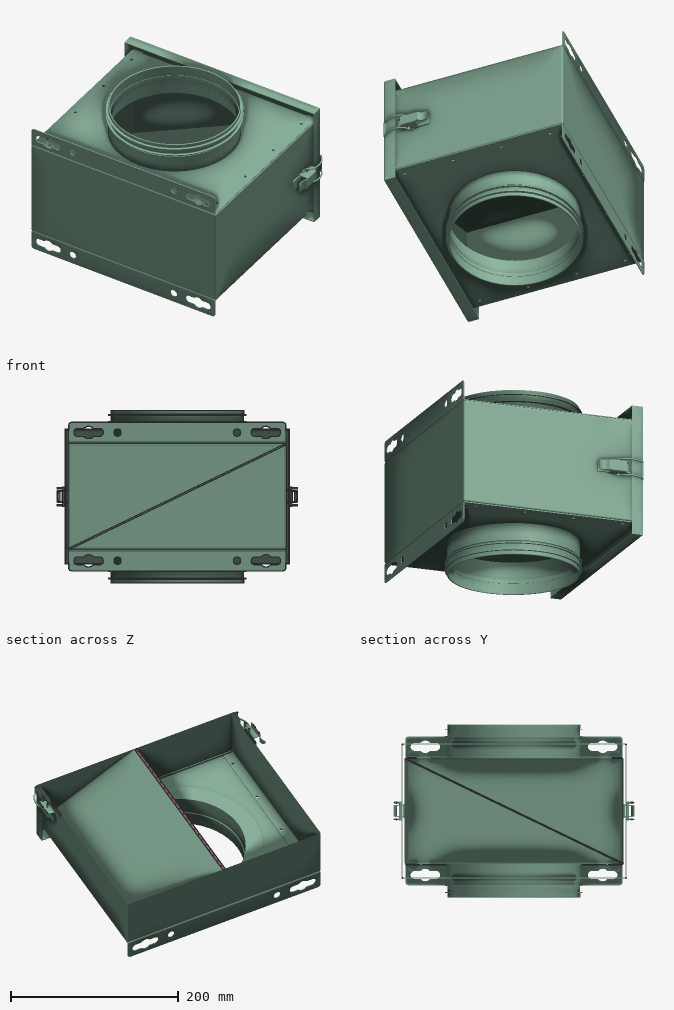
import cadquery as cq
import math

SHEET = 1.0
BEND = 2.0
DEPTH = 229.0
HEIGHT = 206.0
Y_FRONT = -DEPTH / 2
Y_BACK = DEPTH / 2
Y_RIM = Y_BACK - SHEET
HALF_WIDTH = 130.5
HALF_BOX = 63.5
LIP = 14.5

COVER_HALF_WIDTH = 129.5
COVER_TOP = HALF_BOX + SHEET
COVER_BACK = 111.5
FOLD_HEIGHT = 4.3
COVER_BORE = 162.0
FLANGE_TOP = 88.8
FLANGE_CORNER = 4.0
FLANGE_HOLES_Z = 76.5
KEYHOLE_X = 105.8
KEYHOLE_LENGTH = 35.0
KEYHOLE_WIDTH = 9.5
KEYHOLE_EYE = 14.7
ROUND_HOLE_X = 71.3
ROUND_HOLE = 9.0

SIDE_HOLE = 3.5
SIDE_HOLE_X = 119.8
SIDE_HOLE_PITCH = 62.5
SIDE_HOLE_Y0 = -0.5
FRONT_HOLE = 2.5
FRONT_HOLE_Y = -103.8
FRONT_HOLE_XS = (-111.0, -36.8, 36.8, 111.0)

SPIGOT_TOP = HEIGHT / 2
TUBE_OUTER = 159.0
TUBE_INNER = 157.5
BEAD_OUTER = 155.5
BEAD_INNER = 154.3
MOUTH_OUTER = 158.0
COLLAR = 198.0
RING = 164.0
RING_THICKNESS = 1.1
LOW_RING_Z = 88.8
HIGH_RING_Z = 97.5
HEM_LOW = 98.5
HEM_ROUND = 0.72
BEAD_LOW = 85.5
BEAD_HIGH = LOW_RING_Z - RING_THICKNESS / 2

LID_HALF_WIDTH = 134.0
LID_HALF_HEIGHT = 80.5
LID_DEPTH = 15.0

CLIP_REACH = 143.7
LEVER_SHEET = 1.1
LEVER_HALF = 7.2
LEVER_BACK = 89.0
LEVER_FRONT = 70.0
LEVER_BEND = 1.7
CHEEK_BACK = 93.7
CHEEK_OUTER = 141.5
CHEEK_CHAMFER = 2.5
BRIDGE_X = (134.8, 137.5)
BRIDGE_DEPTH = 2.5
CHEEK_INNER = 132.5
TONGUE_DIP = 3.0
TONGUE_BACK = 67.0
TONGUE_FRONT = 53.7
TONGUE_CORNER = 3.5
BASE_BACK = 83.3
BASE_FRONT = 56.5
EAR_FRONT = 76.7
EAR_HALF = 8.3
WIRE = 2.0
BAR = 2.5
ARM_Z = 10.0
BAR_END = 11.5
PIVOT = (135.7, 81.3)
ELBOW = (142.3, 92.0)
ARM_BACK = (142.3, 100.5)
ARM_MIDDLE = (140.0, 107.0)
HOOK = (LID_HALF_WIDTH + BAR / 2, 112.5)


def block(x, y, z):
    """Box between the given pairs of limits."""
    size = (x[1] - x[0], y[1] - y[0], z[1] - z[0])
    return cq.Workplane("XY").box(*size, centered=False).translate((x[0], y[0], z[0]))


def mirrored_pair(shape, plane):
    return shape.union(shape.mirror(plane))


def make_wall_frame():
    """Front and side walls, with lips turned inward around the open top and bottom."""
    frame = block((-HALF_WIDTH, HALF_WIDTH), (Y_FRONT, Y_RIM), (-HALF_BOX, HALF_BOX))
    frame = frame.edges("|Y or <Y").fillet(BEND)
    inside_x = HALF_WIDTH - SHEET
    inside_z = HALF_BOX - SHEET
    cavity = block((-inside_x, inside_x), (Y_FRONT + SHEET, Y_RIM), (-inside_z, inside_z))
    opening_x = HALF_WIDTH - LIP
    opening = block((-opening_x, opening_x), (Y_FRONT + LIP, Y_RIM), (-HALF_BOX, HALF_BOX))
    cavity = cavity.edges("|Y or <Y").fillet(BEND - SHEET)
    return frame.cut(cavity).cut(opening)


def make_divider():
    """Thin sheet that crosses the box from one lower corner to the opposite upper corner."""
    x = HALF_WIDTH - SHEET
    z = HALF_BOX - SHEET
    edge = 2 * SHEET
    corners = [(-x, -z), (-x + edge, -z), (x, z - SHEET), (x, z), (x - edge, z), (-x, SHEET - z)]
    sheet = cq.Workplane("XZ", origin=(0, Y_RIM, 0)).polyline(corners).close()
    return sheet.extrude(Y_RIM - Y_FRONT - SHEET)


def make_flange_holes():
    """Keyhole slots and round holes of one mounting flange."""
    plane = cq.Workplane("XZ", origin=(0, Y_FRONT + BEND, FLANGE_HOLES_Z))
    keyholes = [(-KEYHOLE_X, 0), (KEYHOLE_X, 0)]
    rounds = [(-ROUND_HOLE_X, 0), (ROUND_HOLE_X, 0)]
    slots = plane.pushPoints(keyholes).slot2D(KEYHOLE_LENGTH, KEYHOLE_WIDTH).extrude(2 * BEND)
    eyes = plane.pushPoints(keyholes).circle(KEYHOLE_EYE / 2).extrude(2 * BEND)
    holes = plane.pushPoints(rounds).circle(ROUND_HOLE / 2).extrude(2 * BEND)
    return slots.union(eyes).union(holes)


def make_cover():
    """Upper cover sheet, bent up into the flange at the front and folded down at the back."""
    inner_bend = BEND - SHEET
    inner_slant = inner_bend * math.sqrt(0.5)
    outer_slant = BEND * math.sqrt(0.5)
    bend_y = Y_FRONT + BEND
    bend_z = HALF_BOX + BEND
    fold_y = COVER_BACK - BEND
    fold_z = COVER_TOP - BEND
    fold_low = COVER_TOP - FOLD_HEIGHT
    profile = (
        cq.Workplane("YZ", origin=(-COVER_HALF_WIDTH, 0, 0))
        .moveTo(fold_y, HALF_BOX)
        .lineTo(bend_y, HALF_BOX)
        .threePointArc((bend_y - outer_slant, bend_z - outer_slant), (Y_FRONT, bend_z))
        .lineTo(Y_FRONT, FLANGE_TOP)
        .lineTo(Y_FRONT + SHEET, FLANGE_TOP)
        .lineTo(Y_FRONT + SHEET, bend_z)
        .threePointArc((bend_y - inner_slant, bend_z - inner_slant), (bend_y, COVER_TOP))
        .lineTo(fold_y, COVER_TOP)
        .threePointArc((fold_y + outer_slant, fold_z + outer_slant), (fold_y + BEND, fold_z))
        .lineTo(fold_y + BEND, fold_low)
        .lineTo(fold_y + inner_bend, fold_low)
        .lineTo(fold_y + inner_bend, fold_z)
        .threePointArc((fold_y + inner_slant, fold_z + inner_slant), (fold_y, HALF_BOX))
        .close()
    )
    cover = profile.extrude(2 * COVER_HALF_WIDTH)
    cover = cover.edges("|Y and >Z").fillet(FLANGE_CORNER)
    return cover.cut(make_flange_holes())


def make_cover_holes():
    """Small holes along the sides and the front of both covers."""
    side_ys = [SIDE_HOLE_Y0 + step * SIDE_HOLE_PITCH for step in (-1.5, -0.5, 0.5, 1.5)]
    side_points = [(side * SIDE_HOLE_X, y) for side in (-1, 1) for y in side_ys]
    front_points = [(x, FRONT_HOLE_Y) for x in FRONT_HOLE_XS]
    plane = cq.Workplane("XY", origin=(0, 0, HALF_BOX - SHEET))
    side_holes = plane.pushPoints(side_points).circle(SIDE_HOLE / 2).extrude(2 * SHEET)
    front_holes = plane.pushPoints(front_points).circle(FRONT_HOLE / 2).extrude(2 * SHEET)
    return mirrored_pair(side_holes.union(front_holes), "XY")


def make_spigot():
    """Upper spigot: collar, tube, narrowed bead, mouth and two sealing lips."""
    collar_z = HALF_BOX - SHEET

    def tube(outer, inner, low, high):
        plane = cq.Workplane("XY", origin=(0, 0, low))
        return plane.circle(outer / 2).circle(inner / 2).extrude(high - low)

    spigot = tube(COLLAR, TUBE_INNER, collar_z, HALF_BOX)
    spigot = spigot.union(tube(TUBE_OUTER, TUBE_INNER, collar_z, BEAD_LOW))
    spigot = spigot.union(tube(TUBE_OUTER, BEAD_INNER, BEAD_LOW - SHEET, BEAD_LOW))
    spigot = spigot.union(tube(BEAD_OUTER, BEAD_INNER, BEAD_LOW, BEAD_HIGH))
    spigot = spigot.union(tube(MOUTH_OUTER, BEAD_OUTER, BEAD_HIGH, HEM_LOW))
    hem = tube(TUBE_OUTER, BEAD_OUTER, HEM_LOW, SPIGOT_TOP)
    spigot = spigot.union(hem.faces(">Z").edges().fillet(HEM_ROUND))
    for z, inner in ((LOW_RING_Z, BEAD_INNER), (HIGH_RING_Z, BEAD_OUTER)):
        spigot = spigot.union(tube(RING, inner, z - RING_THICKNESS / 2, z + RING_THICKNESS / 2))
    return spigot


def make_housing():
    bore = cq.Workplane("XY", origin=(0, 0, HALF_BOX)).circle(COVER_BORE / 2).extrude(SHEET)
    upper = make_cover().cut(bore).union(make_spigot())
    housing = make_wall_frame().union(mirrored_pair(upper, "XY"))
    return housing.cut(make_cover_holes()).union(make_divider())


def make_lid():
    """Shallow pan that covers the open end of the housing."""
    y_open = Y_BACK - LID_DEPTH
    x, z = LID_HALF_WIDTH, LID_HALF_HEIGHT
    pan = block((-x, x), (y_open, Y_BACK), (-z, z)).edges(">Y").fillet(BEND)
    inside_x, inside_z = x - SHEET, z - SHEET
    inside = block((-inside_x, inside_x), (y_open, Y_RIM), (-inside_z, inside_z))
    return pan.cut(inside.edges(">Y").fillet(BEND - SHEET))


def make_lever():
    """Channel-shaped lever with two cheeks and a curled finger tongue."""
    inner = CLIP_REACH - LEVER_SHEET
    half_z = LEVER_HALF - LEVER_SHEET
    outline = [
        (HALF_WIDTH, LEVER_FRONT),
        (CLIP_REACH, LEVER_FRONT),
        (CLIP_REACH, LEVER_BACK),
        (CHEEK_OUTER, LEVER_BACK),
        (CHEEK_OUTER, CHEEK_BACK),
        (CHEEK_INNER + CHEEK_CHAMFER, CHEEK_BACK),
        (CHEEK_INNER, CHEEK_BACK - CHEEK_CHAMFER),
        (CHEEK_INNER, BASE_BACK),
        (HALF_WIDTH, BASE_BACK),
    ]
    channel = cq.Workplane("XY", origin=(0, 0, -LEVER_HALF)).polyline(outline).close().extrude(2 * LEVER_HALF)
    channel = channel.faces(">X").edges("|Y").fillet(LEVER_BEND)
    channel = channel.cut(block((HALF_WIDTH, inner), (LEVER_FRONT, CHEEK_BACK), (-half_z, half_z)))
    bridge = block(BRIDGE_X, (CHEEK_BACK - BRIDGE_DEPTH, CHEEK_BACK), (-half_z, half_z))
    web_end = block((inner, CLIP_REACH), (TONGUE_BACK, LEVER_FRONT), (-half_z, half_z))
    middle_y = (TONGUE_BACK + TONGUE_FRONT) / 2
    tongue = (
        cq.Workplane("XY", origin=(0, 0, -half_z))
        .moveTo(CLIP_REACH, TONGUE_BACK)
        .threePointArc((CLIP_REACH - TONGUE_DIP, middle_y), (CLIP_REACH, TONGUE_FRONT))
        .lineTo(inner, TONGUE_FRONT)
        .threePointArc((inner - TONGUE_DIP, middle_y), (inner, TONGUE_BACK))
        .close()
        .extrude(2 * half_z)
    )
    rounding = block((HALF_WIDTH, CLIP_REACH), (TONGUE_FRONT, TONGUE_BACK), (-half_z, half_z))
    tongue = tongue.intersect(rounding.edges("|X and <Y").fillet(TONGUE_CORNER))
    return channel.union(bridge).union(web_end).union(tongue)


def make_bail():
    """Wire bail: two bent arms, the pivot through the cheeks and the bar that hooks the lid."""
    path = (
        cq.Workplane("XY", origin=(0, 0, ARM_Z))
        .moveTo(*PIVOT)
        .spline([ELBOW, ARM_BACK, ARM_MIDDLE, HOOK], includeCurrent=True)
    )
    start = cq.Plane(origin=(*PIVOT, ARM_Z), xDir=(0, 0, 1), normal=path.val().tangentAt(0))
    arm = cq.Workplane(start).circle(WIRE / 2).sweep(path)
    bail = mirrored_pair(arm, "XY")
    for end in (PIVOT, HOOK):
        cross = cq.Workplane("XY", origin=(*end, -BAR_END)).circle(BAR / 2)
        bail = bail.union(cross.extrude(2 * BAR_END))
    return bail


def make_clip():
    """Clip on the +X side wall."""
    half_z = LEVER_HALF - LEVER_SHEET
    base = block((HALF_WIDTH, CHEEK_INNER), (BASE_FRONT, BASE_BACK), (-half_z, half_z))
    ears = block((HALF_WIDTH, CHEEK_INNER), (EAR_FRONT, BASE_BACK), (-EAR_HALF, EAR_HALF))
    return base.union(ears).union(make_lever()).union(make_bail())


housing = make_housing()
lid = make_lid()
clips = []
for half_turn in (0, 180):
    clips.append(make_clip().rotate((0, 0, 0), (0, 1, 0), half_turn))

result = cq.Compound.makeCompound([housing.val(), lid.val(), *[clip.val() for clip in clips]])